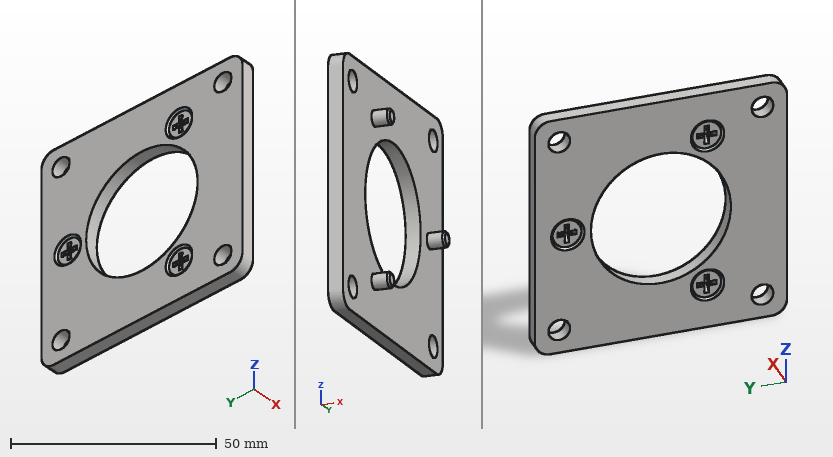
import cadquery as cq
import math

PLATE_SIZE = 65.0
PLATE_THICKNESS = 3.95
CORNER_RADIUS = 4.0
WINDOW_DIAMETER = 36.0
MOUNT_HOLE_DIAMETER = 5.5
MOUNT_HOLE_SPACING = 52.3

SCREW_COUNT = 3
SCREW_CIRCLE_RADIUS = 24.0
SCREW_TIP_X = 8.5
SHANK_RADIUS = 2.0
TIP_CHAMFER = 0.5
HEAD_RADIUS = 3.7
COUNTERSINK_RADIUS = 4.3

HEAD_TOP_X = COUNTERSINK_RADIUS - HEAD_RADIUS
HEAD_BASE_X = COUNTERSINK_RADIUS - SHANK_RADIUS

RECESS_ARM_REACH = 2.5
RECESS_ARM_WIDTH = 1.1
RECESS_CENTRE_RADIUS = 0.7
RECESS_DEPTH = 1.5


def screw_positions():
    """(Y, Z) of each screw axis, the first one on the +Y side."""
    angles = [2 * math.pi * i / SCREW_COUNT for i in range(SCREW_COUNT)]
    return [(SCREW_CIRCLE_RADIUS * math.cos(a), SCREW_CIRCLE_RADIUS * math.sin(a)) for a in angles]


def revolve_about_x(profile_points):
    """Solid of revolution about the X axis from (x, radius) points."""
    return cq.Workplane("XY").polyline(profile_points).close().revolve(360, (0, 0, 0), (1, 0, 0))


def make_countersunk_hole():
    """Cutter for one screw hole, on the X axis."""
    return revolve_about_x([
        (0, 0),
        (0, COUNTERSINK_RADIUS),
        (HEAD_BASE_X, SHANK_RADIUS),
        (PLATE_THICKNESS, SHANK_RADIUS),
        (PLATE_THICKNESS, 0),
    ])


def make_plate():
    plate = (
        cq.Workplane("YZ")
        .rect(PLATE_SIZE, PLATE_SIZE)
        .extrude(PLATE_THICKNESS)
        .edges("|X")
        .fillet(CORNER_RADIUS)
    )
    window = cq.Workplane("YZ").circle(WINDOW_DIAMETER / 2).extrude(PLATE_THICKNESS)
    mount_holes = (
        cq.Workplane("YZ")
        .rect(MOUNT_HOLE_SPACING, MOUNT_HOLE_SPACING, forConstruction=True)
        .vertices()
        .circle(MOUNT_HOLE_DIAMETER / 2)
        .extrude(PLATE_THICKNESS)
    )
    plate = plate.cut(window).cut(mount_holes)
    for y, z in screw_positions():
        plate = plate.cut(make_countersunk_hole().translate((0, y, z)))
    return plate


def make_cross_recess():
    """Cutter for the driver recess, sunk into the head top on the X axis."""
    recess_floor_x = HEAD_TOP_X + RECESS_DEPTH
    arm_pair = (
        cq.Workplane("XY")
        .polyline([
            (HEAD_TOP_X, -RECESS_ARM_REACH),
            (HEAD_TOP_X, RECESS_ARM_REACH),
            (recess_floor_x, RECESS_CENTRE_RADIUS),
            (recess_floor_x, -RECESS_CENTRE_RADIUS),
        ])
        .close()
        .extrude(RECESS_ARM_WIDTH / 2, both=True)
    )
    crossing_pair = arm_pair.rotate((0, 0, 0), (1, 0, 0), 90)
    centre = (
        cq.Workplane("YZ", origin=(HEAD_TOP_X, 0, 0))
        .circle(RECESS_CENTRE_RADIUS)
        .extrude(RECESS_DEPTH)
    )
    return arm_pair.union(crossing_pair).union(centre)


def make_screw(y, z):
    """Countersunk screw with its axis along X at the given Y and Z."""
    body = revolve_about_x([
        (HEAD_TOP_X, 0),
        (HEAD_TOP_X, HEAD_RADIUS),
        (HEAD_BASE_X, SHANK_RADIUS),
        (SCREW_TIP_X - TIP_CHAMFER, SHANK_RADIUS),
        (SCREW_TIP_X, SHANK_RADIUS - TIP_CHAMFER),
        (SCREW_TIP_X, 0),
    ])
    return body.cut(make_cross_recess()).translate((0, y, z))


plate = make_plate()
screws = [make_screw(y, z) for y, z in screw_positions()]

result = cq.Compound.makeCompound([plate.val(), *[screw.val() for screw in screws]])